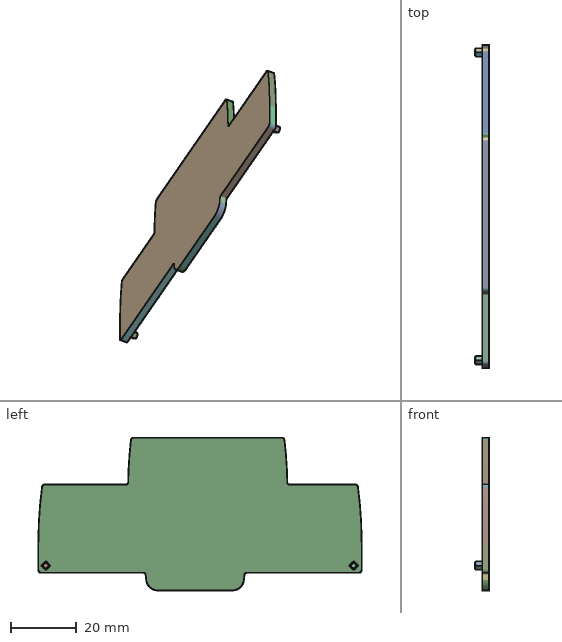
import cadquery as cq
import math

plate_thickness = 2.2
overall_width = 98.43
overall_height = 46.55

wing_half_width = overall_width / 2
wing_bottom = 5.35
wing_top = 32.3
wing_lean_start = 14.5
wing_lean_radius = 128.0

tower_centre = -2.35
tower_base_half_width = 24.25
tower_top_half_width = 23.3
tower_side_radius = 128.0

tab_centre = 1.5
tab_root_half_width = 15.15
tab_tip_half_width = 14.5
tab_corner_radius = 3.6

outer_corner_radius = 1.0
inner_corner_radius = 0.5

peg_diagonal = 2.65
peg_length = 2.2
lead_in_length = 0.4
lead_in_depth = 0.55
peg_height = 7.6
peg_centres = (-46.75, 46.9)


def sagitta(reach, radius):
    """Depth of a circle of the given radius at a distance from its tangent point."""
    return radius - math.sqrt(radius**2 - reach**2)


def arc_middle(start, end, radius, side):
    """Middle point of a rising arc between two (y, z) points, bulging to the given Y side and up."""
    run = (end[0] - start[0]) * side
    rise = abs(end[1] - start[1])
    chord = math.hypot(run, rise)
    bulge = sagitta(chord / 2, radius)
    middle_y = (start[0] + end[0]) / 2 + side * bulge * rise / chord
    middle_z = (start[1] + end[1]) / 2 - bulge * run / chord
    return (middle_y, middle_z)


def side_points(side):
    """Outline corners of one side of the plate (side is +1 or -1 along Y)."""
    shoulder_half_width = wing_half_width - sagitta(wing_top - wing_lean_start, wing_lean_radius)
    points = {
        "tab tip": (tab_centre + side * tab_tip_half_width, 0),
        "tab root": (tab_centre + side * tab_root_half_width, wing_bottom),
        "wing bottom": (side * wing_half_width, wing_bottom),
        "wing lean": (side * wing_half_width, wing_lean_start),
        "shoulder": (side * shoulder_half_width, wing_top),
        "tower base": (tower_centre + side * tower_base_half_width, wing_top),
        "tower top": (tower_centre + side * tower_top_half_width, overall_height),
    }
    points["wing arc"] = arc_middle(points["wing lean"], points["shoulder"], wing_lean_radius, side)
    points["tower arc"] = arc_middle(points["tower base"], points["tower top"], tower_side_radius, side)
    return points


def fillet_corner(plate, corner, radius):
    """Round the through-thickness edge standing at an outline corner."""
    edge = cq.NearestToPointSelector((plate_thickness / 2, *corner))
    return plate.edges(edge).fillet(radius)


def make_plate():
    left = side_points(1)
    right = side_points(-1)
    plate = (
        cq.Workplane("YZ")
        .moveTo(*left["tab tip"])
        .lineTo(*left["tab root"])
        .lineTo(*left["wing bottom"])
        .lineTo(*left["wing lean"])
        .threePointArc(left["wing arc"], left["shoulder"])
        .lineTo(*left["tower base"])
        .threePointArc(left["tower arc"], left["tower top"])
        .lineTo(*right["tower top"])
        .threePointArc(right["tower arc"], right["tower base"])
        .lineTo(*right["shoulder"])
        .threePointArc(right["wing arc"], right["wing lean"])
        .lineTo(*right["wing bottom"])
        .lineTo(*right["tab root"])
        .lineTo(*right["tab tip"])
        .close()
        .extrude(plate_thickness)
    )
    corner_radii = {
        "tab tip": tab_corner_radius,
        "tab root": inner_corner_radius,
        "wing bottom": outer_corner_radius,
        "shoulder": outer_corner_radius,
        "tower base": inner_corner_radius,
        "tower top": outer_corner_radius,
    }
    for points in (left, right):
        for name, radius in corner_radii.items():
            plate = fillet_corner(plate, points[name], radius)
    return plate


def make_peg(centre_y):
    axis = cq.Workplane("YZ").center(centre_y, peg_height)
    square_pin = axis.polygon(4, peg_diagonal).extrude(-peg_length)
    tapered_rod = axis.circle(peg_diagonal / 2).extrude(-peg_length)
    tapered_rod = tapered_rod.faces("<X").chamfer(lead_in_length, lead_in_depth)
    return square_pin.intersect(tapered_rod)


result = make_plate()
for centre_y in peg_centres:
    result = result.union(make_peg(centre_y))